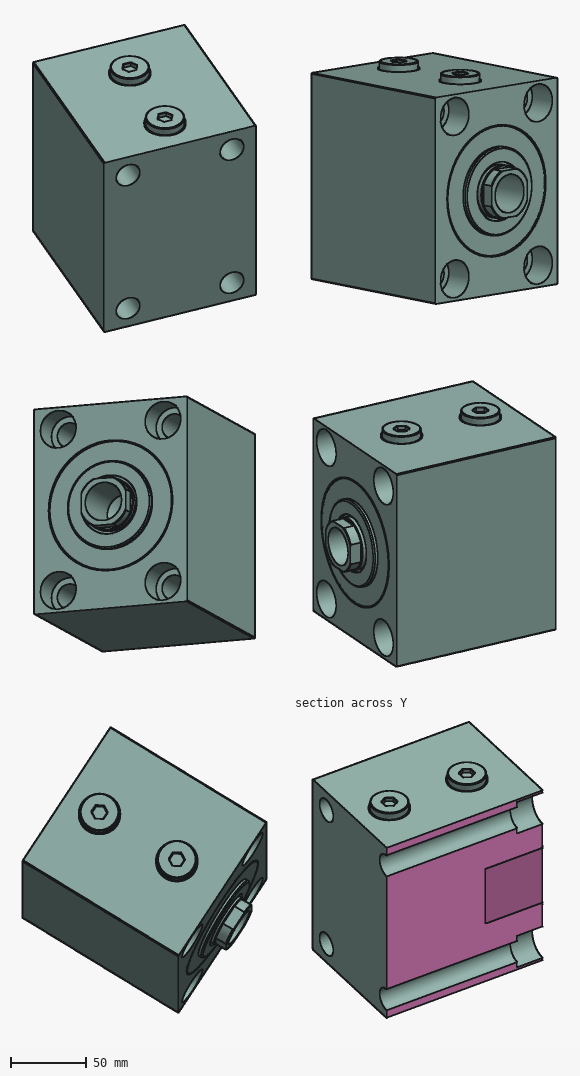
import cadquery as cq
import math

CHAMFER_ANGLE = 45.0

BLOCK_LENGTH = 123.0
BLOCK_WIDTH = 110.0
BLOCK_HEIGHT = 140.0
BLOCK_EDGE_CHAMFER = 0.7
ROD_AXIS_Z = BLOCK_HEIGHT / 2

BOLT_SPACING_Y = 75.0
BOLT_SPACING_Z = 110.0
BOLT_HOLE_DIAMETER = 17.0
BOLT_HEAD_DIAMETER = 25.5
BOLT_HEAD_DEPTH = 20.0

GLAND_DIAMETER = 87.4
GLAND_DEPTH = 45.0
GLAND_SEAT_CHAMFER = 0.8
COLLAR_DIAMETER = 60.0
COLLAR_HEIGHT = 3.0
COLLAR_CHAMFER = 1.0
WIPER_RECESS_DIAMETER = 40.0
WIPER_RECESS_DEPTH = 2.0

ROD_DIAMETER = 36.0
ROD_PROTRUSION = 13.0
ROD_SHOULDER_CHAMFER = 0.5
HEAD_DIAMETER = 35.0
HEAD_LENGTH = 8.0
HEAD_TIP_CHAMFER = 0.4
HEAD_ACROSS_FLATS = 32.0
ROD_HOLE_DIAMETER = 26.0
ROD_HOLE_DEPTH = 40.0
DRILL_POINT_ANGLE = 118.0

PLUG_FIRST_X = 36.0
PLUG_SPACING = 61.0
PLUG_COUNT = 2
PLUG_HEAD_DIAMETER = 26.0
PLUG_PROTRUSION = 4.9
PLUG_CHAMFER = 0.6
PLUG_STEM_DIAMETER = 21.0
PLUG_STEM_LENGTH = 14.0
PLUG_HEX_ACROSS_FLATS = 9.0
PLUG_HEX_CHAMFER = 0.3
PLUG_HEX_DEPTH = 3.0
SPOTFACE_DIAMETER = 28.0
SPOTFACE_DEPTH = 0.5


def rod_cylinder(x_start, x_end, diameter):
    """Solid cylinder on the rod axis between two X positions."""
    plane = cq.Workplane("YZ", origin=(x_start, 0, ROD_AXIS_Z))
    return plane.circle(diameter / 2).extrude(x_end - x_start)


def make_gland():
    body = rod_cylinder(0, GLAND_DEPTH, GLAND_DIAMETER)
    collar = rod_cylinder(-COLLAR_HEIGHT, 0, COLLAR_DIAMETER).faces("<X").chamfer(COLLAR_CHAMFER)
    bore = rod_cylinder(-COLLAR_HEIGHT, GLAND_DEPTH, ROD_DIAMETER)
    recess = rod_cylinder(-COLLAR_HEIGHT, WIPER_RECESS_DEPTH - COLLAR_HEIGHT, WIPER_RECESS_DIAMETER)
    return body.union(collar).cut(bore).cut(recess)


def make_rod():
    head_end = HEAD_LENGTH - ROD_PROTRUSION
    shank = rod_cylinder(head_end, GLAND_DEPTH, ROD_DIAMETER).faces("<X").chamfer(ROD_SHOULDER_CHAMFER)
    head = rod_cylinder(-ROD_PROTRUSION, head_end, HEAD_DIAMETER).faces("<X").chamfer(HEAD_TIP_CHAMFER)
    flats = (
        cq.Workplane("YZ", origin=(-ROD_PROTRUSION, 0, ROD_AXIS_Z))
        .rect(HEAD_ACROSS_FLATS, HEAD_ACROSS_FLATS)
        .extrude(HEAD_LENGTH)
    )
    hole_radius = ROD_HOLE_DIAMETER / 2
    point_length = hole_radius / math.tan(math.radians(DRILL_POINT_ANGLE / 2))
    hole = (
        cq.Workplane("XY", origin=(-ROD_PROTRUSION, 0, ROD_AXIS_Z))
        .lineTo(0, hole_radius)
        .lineTo(ROD_HOLE_DEPTH, hole_radius)
        .lineTo(ROD_HOLE_DEPTH + point_length, 0)
        .close()
        .revolve(360, (0, 0, 0), (1, 0, 0))
    )
    return shank.union(head.intersect(flats)).cut(hole)


def plug_positions():
    return [PLUG_FIRST_X + i * PLUG_SPACING for i in range(PLUG_COUNT)]


def hexagon(x, z, across_flats):
    """Horizontal hexagon outline with two of its corners pointing along Y."""
    across_corners = across_flats / math.cos(math.pi / 6)
    plane = cq.Workplane("XY", origin=(x, 0, z)).transformed(rotate=(0, 0, 90))
    return plane.polygon(6, across_corners)


def make_plug(x):
    seat_z = BLOCK_HEIGHT - SPOTFACE_DEPTH
    top_z = BLOCK_HEIGHT + PLUG_PROTRUSION
    head = (
        cq.Workplane("XY", origin=(x, 0, seat_z))
        .circle(PLUG_HEAD_DIAMETER / 2)
        .extrude(top_z - seat_z)
        .faces(">Z")
        .chamfer(PLUG_CHAMFER)
    )
    stem = (
        cq.Workplane("XY", origin=(x, 0, seat_z))
        .circle(PLUG_STEM_DIAMETER / 2)
        .extrude(-PLUG_STEM_LENGTH)
    )
    socket = hexagon(x, top_z, PLUG_HEX_ACROSS_FLATS).extrude(-PLUG_HEX_DEPTH)
    mouth_across_flats = PLUG_HEX_ACROSS_FLATS + 2 * PLUG_HEX_CHAMFER
    mouth = hexagon(x, top_z, mouth_across_flats).extrude(-PLUG_HEX_CHAMFER, taper=CHAMFER_ANGLE)
    return head.union(stem).cut(socket).cut(mouth)


def make_block():
    block = (
        cq.Workplane("XY")
        .box(BLOCK_LENGTH, BLOCK_WIDTH, BLOCK_HEIGHT, centered=(False, True, False))
        .edges("|X")
        .chamfer(BLOCK_EDGE_CHAMFER)
    )
    bolt_pattern = cq.Workplane("YZ", origin=(0, 0, ROD_AXIS_Z)).rarray(BOLT_SPACING_Y, BOLT_SPACING_Z, 2, 2)
    block = block.cut(bolt_pattern.circle(BOLT_HOLE_DIAMETER / 2).extrude(BLOCK_LENGTH))
    block = block.cut(bolt_pattern.circle(BOLT_HEAD_DIAMETER / 2).extrude(BOLT_HEAD_DEPTH))

    pocket = rod_cylinder(0, GLAND_DEPTH, GLAND_DIAMETER)
    mouth_radius = GLAND_DIAMETER / 2 + GLAND_SEAT_CHAMFER
    mouth_plane = cq.Workplane("YZ", origin=(0, 0, ROD_AXIS_Z))
    mouth = mouth_plane.circle(mouth_radius).extrude(GLAND_SEAT_CHAMFER, taper=CHAMFER_ANGLE)
    block = block.cut(pocket).cut(mouth)

    for x in plug_positions():
        port_top = cq.Workplane("XY", origin=(x, 0, BLOCK_HEIGHT))
        block = block.cut(port_top.circle(SPOTFACE_DIAMETER / 2).extrude(-SPOTFACE_DEPTH))
        block = block.cut(port_top.circle(PLUG_STEM_DIAMETER / 2).extrude(-SPOTFACE_DEPTH - PLUG_STEM_LENGTH))
    return block


block = make_block()
gland = make_gland()
rod = make_rod()
plugs = [make_plug(x) for x in plug_positions()]

result = cq.Compound.makeCompound(
    [block.val(), gland.val(), rod.val(), *[plug.val() for plug in plugs]]
)